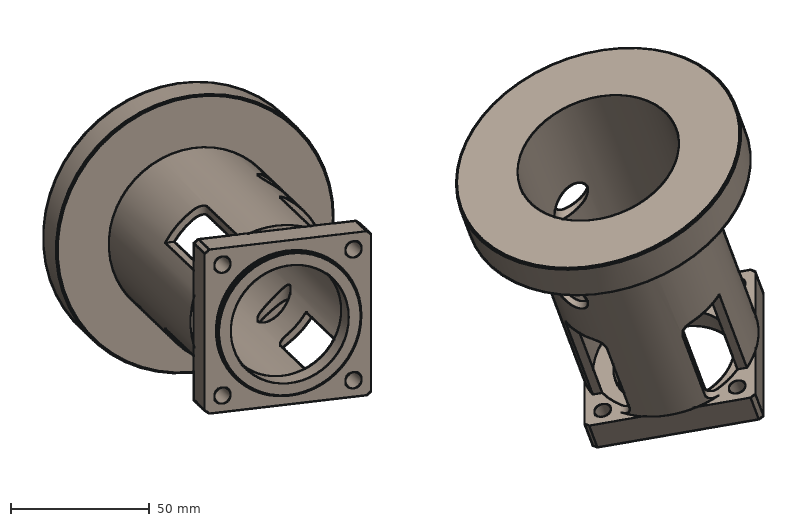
import cadquery as cq

flange_diameter = 106.0
flange_thickness = 15.0
flange_chamfer = 0.5

tube_diameter = 66.0
bore_diameter = 60.0
tube_end_x = 104.0

plate_width_y = 63.5
plate_height_z = 62.7
plate_thickness = 12.0
plate_flat_width = 60.0
plate_end_x = tube_end_x + plate_thickness

spigot_diameter = 55.0
spigot_length = 2.0
spigot_chamfer = 0.5
end_bore_diameter = 45.0
total_length = plate_end_x + spigot_length
end_bore_length = 8.3
bore_depth = total_length - end_bore_length

bolt_hole_diameter = 6.2
bolt_hole_spacing = 50.0

window_length = 40.0
window_inner_y = 14.0
window_inner_z = 16.4
window_corner_radius = 4.0

side_hole_diameter = 12.0
side_hole_x = 41.7
side_hole_y = 20.7


def disc(diameter, start_x, length):
    """Cylinder on the part axis."""
    return cq.Workplane("YZ", origin=(start_x, 0, 0)).circle(diameter / 2).extrude(length)


def make_flange():
    return disc(flange_diameter, 0, flange_thickness).edges().chamfer(flange_chamfer)


def make_plate():
    """Nearly square end plate with its four corners cut off, leaving equal flats on all sides."""
    half_y = plate_width_y / 2
    half_z = plate_height_z / 2
    half_flat = plate_flat_width / 2
    outline = [
        (half_y, half_flat),
        (half_flat, half_z),
        (-half_flat, half_z),
        (-half_y, half_flat),
        (-half_y, -half_flat),
        (-half_flat, -half_z),
        (half_flat, -half_z),
        (half_y, -half_flat),
    ]
    plate = cq.Workplane("YZ", origin=(tube_end_x, 0, 0)).polyline(outline).close()
    return plate.extrude(plate_thickness)


def make_spigot():
    spigot = disc(spigot_diameter, plate_end_x, spigot_length)
    return spigot.faces(">X").edges().chamfer(spigot_chamfer)


def make_bolt_holes():
    holes = cq.Workplane("YZ", origin=(tube_end_x, 0, 0))
    holes = holes.rect(bolt_hole_spacing, bolt_hole_spacing, forConstruction=True).vertices()
    return holes.circle(bolt_hole_diameter / 2).extrude(plate_thickness)


def make_window(side_y, side_z):
    """Cutter for one tube window; its two edges nearest the XZ plane are rounded."""
    tube_radius = tube_diameter / 2
    width = tube_radius - window_inner_y
    height = tube_radius - window_inner_z
    window = cq.Workplane("XY").box(window_length, width, height, centered=False)
    window = window.edges("|Z and <Y").fillet(window_corner_radius)
    window = window.translate((tube_end_x - window_length, window_inner_y, window_inner_z))
    if side_y < 0:
        window = window.mirror("XZ")
    if side_z < 0:
        window = window.mirror("XY")
    return window


def make_side_hole():
    """Hole parallel to Z through both walls of the tube."""
    hole = cq.Workplane("XY").center(side_hole_x, side_hole_y).circle(side_hole_diameter / 2)
    return hole.extrude(tube_diameter / 2, both=True)


result = disc(tube_diameter, 0, tube_end_x)
result = result.union(make_flange()).union(make_plate()).union(make_spigot())
result = result.cut(disc(bore_diameter, 0, bore_depth))
result = result.cut(disc(end_bore_diameter, 0, total_length))
result = result.cut(make_bolt_holes())
result = result.cut(make_side_hole())
for side_y in (-1, 1):
    for side_z in (-1, 1):
        result = result.cut(make_window(side_y, side_z))